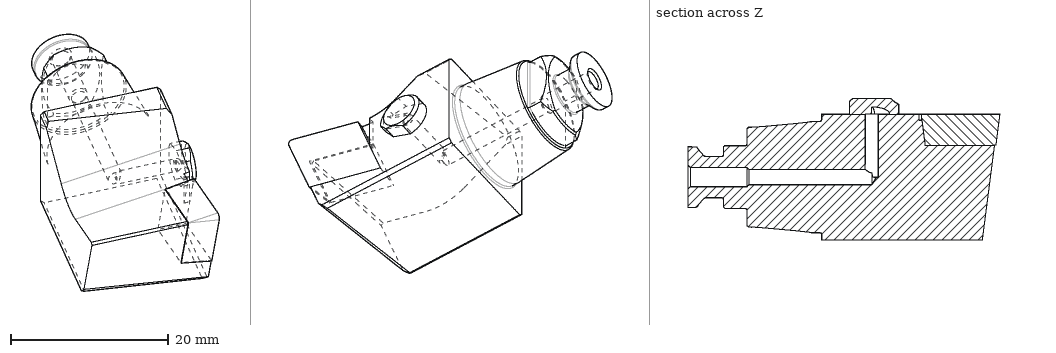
import cadquery as cq
import math


HEAD_SIDE = 16.0
HALF_SIDE = HEAD_SIDE / 2
HEAD_EDGE_CHAMFER = 0.5
TIP_X = 25.05
TOE_Z = -6.85
TOE_CHAMFER_ANGLE = 50.0
NOSE_LAND = 0.4

INSERT_ANGLE = 55.0
INSERT_EDGE = 11.65
INSERT_THICKNESS = 3.95
NOSE_RADIUS = 0.5
RELIEF_ANGLE = 7.0
HEAD_SETBACK = 0.15

SCOOP_RADIUS = 7.15
SCOOP_WALL_ANGLE = 32.5
SCOOP_END_X = 14.25
NOTCH_START_X = 12.4
NOTCH_DEPTH = 0.75

STUD_END_X = -16.95
STUD_RADIUS = 3.85
STUD_RIM_END_X = -15.88
NECK_START_X = -14.85
NECK_RADIUS = 2.65
STUD_FILLET = 0.25
NECK_ROOT_FILLET = 0.15
COLLAR_START_X = -12.47
COLLAR_RADIUS = 5.9
COLLAR_EDGE_CHAMFER = 0.25
FLAT_OFFSET = 4.0
FLAT_CHAMFER_RADIUS = 9.55
FLAT_CHAMFER_EDGE = 3.82
COLLAR_FILLET = 0.2
TAPER_START_X = -9.5
TAPER_CHAMFER = 0.2
TAPER_START_RADIUS = 6.35
TAPER_END_X = -1.05
TAPER_END_RADIUS = 7.1
SHOULDER_FILLET = 0.2

COUNTERSINK_RADIUS = 1.5
INLET_RADIUS = 1.2
BORE_RADIUS = 0.95
BORE_TIP_ANGLE = 118.0
CROSS_BORE_RADIUS = 0.8

NOZZLE_X = 6.4
NOZZLE_HEIGHT = 2.0
NOZZLE_RADIUS = 2.85
NOZZLE_NOSE_RADIUS = 3.45
NOZZLE_NOSE_HALF_ANGLE = 24.0
NOZZLE_FACE_RADIUS = 2.4
NOZZLE_CHAMFER_ANGLE = 37.0
OUTLET_RADIUS = 0.9
FLAT_START_ANGLE = 120.0
FLAT_END_ANGLE = 60.0

MARGIN = 4.2
OVERRUN = 0.05
TOLERANCE = 0.005
DIAGONAL = math.sqrt(0.5)

edge_angle = math.radians((90 - INSERT_ANGLE) / 2)
half_insert_angle = math.radians(INSERT_ANGLE / 2)
edge_sin, edge_cos, edge_tan = math.sin(edge_angle), math.cos(edge_angle), math.tan(edge_angle)

nose_inset = NOSE_RADIUS * (DIAGONAL / math.sin(half_insert_angle) - 1)
corner_x = TIP_X + nose_inset
corner_z = HALF_SIDE + nose_inset

lean = HEAD_SIDE * math.tan(math.radians(RELIEF_ANGLE))
corner_setback = HEAD_SETBACK / math.sin(half_insert_angle) * DIAGONAL
head_corner_x = corner_x - corner_setback
head_corner_z = corner_z - corner_setback


def polar(radius, degrees):
    angle = math.radians(degrees)
    return radius * math.cos(angle), radius * math.sin(angle)


def side_plane():
    """XZ plane on the +Y face of the head; its normal points to -Y."""
    return cq.Workplane("XZ", origin=(0, HALF_SIDE, 0))


def leaning_cutter(outline, shift_x, shift_z):
    """Prism from an outline on the +Y face that drifts by the given shift across the head."""
    across = cq.Vector(shift_x, -HEAD_SIDE, shift_z)
    start = outline.val().translate(across * -OVERRUN)
    return cq.Workplane(cq.Solid.extrudeLinear(start, [], across * (1 + 2 * OVERRUN)))



def scoop_cutter():
    wall = math.radians(SCOOP_WALL_ANGLE)
    end_z = head_corner_z - (head_corner_x - SCOOP_END_X) * edge_tan
    centre_x = SCOOP_END_X - SCOOP_RADIUS * edge_sin
    centre_z = end_z + SCOOP_RADIUS * edge_cos
    wall_end = (centre_x - SCOOP_RADIUS * math.sin(wall), centre_z - SCOOP_RADIUS * math.cos(wall))
    top_z = HALF_SIDE + MARGIN
    wall_top_x = wall_end[0] - (top_z - wall_end[1]) / math.tan(wall)
    rake_top_x = head_corner_x + (top_z - head_corner_z) / edge_tan
    outline = (
        side_plane()
        .moveTo(wall_top_x, top_z)
        .lineTo(*wall_end)
        .threePointArc((centre_x, centre_z - SCOOP_RADIUS), (SCOOP_END_X, end_z))
        .lineTo(rake_top_x, top_z)
        .close()
    )
    return leaning_cutter(outline, lean * edge_sin, -lean * edge_cos)


def end_cutter():
    toe_x = head_corner_x - (head_corner_z - TOE_Z) * edge_tan
    top_z = HALF_SIDE + MARGIN
    top_x = toe_x + (top_z - TOE_Z) * edge_tan
    bottom_z = -HALF_SIDE - MARGIN
    bottom_x = toe_x - (TOE_Z - bottom_z) / math.tan(math.radians(TOE_CHAMFER_ANGLE))
    far_x = top_x + MARGIN
    outline = side_plane().polyline(
        [(top_x, top_z), (toe_x, TOE_Z), (bottom_x, bottom_z), (far_x, bottom_z), (far_x, top_z)]
    ).close()
    return leaning_cutter(outline, -lean * edge_cos, lean * edge_sin)


def nose_land_cutter():
    depth = NOSE_LAND / 2 / math.tan(half_insert_angle)
    diagonal = cq.Workplane(
        cq.Plane(
            origin=(head_corner_x, HALF_SIDE, head_corner_z), xDir=(1, 0, 1), normal=(0, -1, 0)
        )
    )
    outline = diagonal.polyline(
        [(-depth, MARGIN), (-depth, -MARGIN), (MARGIN, -MARGIN), (MARGIN, MARGIN)]
    ).close()
    corner_shift = -lean / math.sin(half_insert_angle) * DIAGONAL
    return leaning_cutter(outline, corner_shift, corner_shift)


def relief_notch():
    """Shallow wedge on the +Y face that bares the inner side of the insert."""
    inner_x = corner_x - INSERT_EDGE * edge_cos
    inner_z = corner_z - INSERT_EDGE * edge_sin
    foot_z = inner_z - (inner_x - NOTCH_START_X) / edge_tan
    return (
        side_plane()
        .polyline([(NOTCH_START_X, foot_z), (inner_x, inner_z), (NOTCH_START_X, HALF_SIDE)])
        .close()
        .extrude(NOTCH_DEPTH)
    )


def head():
    block = (
        cq.Workplane("YZ")
        .rect(HEAD_SIDE, HEAD_SIDE)
        .extrude(TIP_X)
        .edges("|X")
        .chamfer(HEAD_EDGE_CHAMFER)
    )
    return block.cut(scoop_cutter()).cut(end_cutter()).cut(nose_land_cutter()).cut(relief_notch())


def turned(points):
    """Solid of revolution about the X axis from (x, radius) points that start and end on the axis."""
    return cq.Workplane("XZ").polyline(points).close().revolve(360, (0, 0, 0), (1, 0, 0))


def pull_stud():
    stud = turned([
        (STUD_END_X, 0),
        (STUD_END_X, STUD_RADIUS),
        (STUD_RIM_END_X, STUD_RADIUS),
        (NECK_START_X, NECK_RADIUS),
        (COLLAR_START_X, NECK_RADIUS),
        (COLLAR_START_X, 0),
    ])
    cone_ends = cq.selectors.BoxSelector(
        (STUD_RIM_END_X - STUD_FILLET, -MARGIN, -MARGIN), (NECK_START_X + STUD_FILLET, MARGIN, MARGIN)
    )
    return stud.edges(cone_ends).edges("%CIRCLE").fillet(STUD_FILLET)


def collar():
    length = TAPER_START_X - COLLAR_START_X
    body = (
        cq.Workplane("YZ", origin=(COLLAR_START_X, 0, 0))
        .circle(COLLAR_RADIUS)
        .extrude(length)
        .faces("<X")
        .chamfer(COLLAR_EDGE_CHAMFER)
    )
    between_flats = (
        cq.Workplane("YZ", origin=(COLLAR_START_X, 0, 0))
        .rect(2 * FLAT_OFFSET, 2 * COLLAR_RADIUS)
        .extrude(length)
    )
    body = body.intersect(between_flats)
    cone = turned([
        (COLLAR_START_X, 0),
        (COLLAR_START_X, FLAT_CHAMFER_RADIUS),
        (TAPER_START_X, FLAT_CHAMFER_RADIUS + length),
        (TAPER_START_X, 0),
    ])
    cone_offset = FLAT_CHAMFER_RADIUS - FLAT_CHAMFER_EDGE
    for side in (-1, 1):
        body = body.intersect(cone.translate((0, side * cone_offset, 0)))
    return body


def taper():
    return turned([
        (TAPER_START_X, 0),
        (TAPER_START_X, TAPER_START_RADIUS - TAPER_CHAMFER),
        (TAPER_START_X + TAPER_CHAMFER, TAPER_START_RADIUS),
        (TAPER_END_X, TAPER_END_RADIUS),
        (0, TAPER_END_RADIUS),
        (0, 0),
    ])


def coolant_channel():
    """Axial bore from the stud end and a cross bore from its tip to the nozzle."""
    tip_length = BORE_RADIUS / math.tan(math.radians(BORE_TIP_ANGLE / 2))
    axial = turned([
        (STUD_END_X, 0),
        (STUD_END_X, COUNTERSINK_RADIUS),
        (STUD_END_X + COUNTERSINK_RADIUS - INLET_RADIUS, INLET_RADIUS),
        (TAPER_START_X, INLET_RADIUS),
        (TAPER_START_X + INLET_RADIUS - BORE_RADIUS, BORE_RADIUS),
        (NOZZLE_X, BORE_RADIUS),
        (NOZZLE_X + tip_length, 0),
    ])
    cross = (
        side_plane()
        .center(NOZZLE_X, 0)
        .circle(CROSS_BORE_RADIUS)
        .extrude(HALF_SIDE)
    )
    return axial.union(cross)


def joint_edges(x, reach):
    """Selects the edges that lie in the plane at x and keep within reach of the axis."""
    return cq.selectors.BoxSelector(
        (x - TOLERANCE, -reach, -reach), (x + TOLERANCE, reach, reach), boundingbox=True
    )


def holder(insert_body):
    body = taper().union(collar()).union(pull_stud()).union(head())
    for x, radius, fillet in (
        (COLLAR_START_X, NECK_RADIUS, NECK_ROOT_FILLET),
        (TAPER_START_X, COLLAR_RADIUS, COLLAR_FILLET),
        (0, TAPER_END_RADIUS, SHOULDER_FILLET),
    ):
        body = body.edges(joint_edges(x, radius + fillet / 2)).fillet(fillet)
    return body.cut(coolant_channel()).cut(insert_body)



def insert():
    """Rhombic plate with one rounded nose; all its sides lean inward away from the +Y face."""
    nose_x = TIP_X - NOSE_RADIUS
    nose_z = HALF_SIDE - NOSE_RADIUS
    rake_tangent = (nose_x - NOSE_RADIUS * edge_sin, nose_z + NOSE_RADIUS * edge_cos)
    nose_middle = (nose_x + NOSE_RADIUS * DIAGONAL, nose_z + NOSE_RADIUS * DIAGONAL)
    end_tangent = (nose_x + NOSE_RADIUS * edge_cos, nose_z - NOSE_RADIUS * edge_sin)
    along_rake = (-INSERT_EDGE * edge_cos, -INSERT_EDGE * edge_sin)
    along_end = (-INSERT_EDGE * edge_sin, -INSERT_EDGE * edge_cos)
    return (
        side_plane()
        .moveTo(*end_tangent)
        .threePointArc(nose_middle, rake_tangent)
        .lineTo(corner_x + along_rake[0], corner_z + along_rake[1])
        .line(*along_end)
        .lineTo(corner_x + along_end[0], corner_z + along_end[1])
        .close()
        .extrude(INSERT_THICKNESS, taper=RELIEF_ANGLE)
    )



def nozzle():
    outward = cq.Plane(origin=(NOZZLE_X, HALF_SIDE, 0), xDir=(1, 0, 0), normal=(0, 1, 0))
    aim = math.degrees(math.atan2(HALF_SIDE, TIP_X - NOZZLE_X))
    plane = outward.rotated((0, 0, -aim))
    body = (
        cq.Workplane(plane)
        .moveTo(*polar(NOZZLE_RADIUS, FLAT_START_ANGLE))
        .threePointArc((-NOZZLE_RADIUS, 0), polar(NOZZLE_RADIUS, -FLAT_START_ANGLE))
        .lineTo(*polar(NOZZLE_RADIUS, -FLAT_END_ANGLE))
        .lineTo(*polar(NOZZLE_NOSE_RADIUS, -NOZZLE_NOSE_HALF_ANGLE))
        .threePointArc((NOZZLE_NOSE_RADIUS, 0), polar(NOZZLE_NOSE_RADIUS, NOZZLE_NOSE_HALF_ANGLE))
        .lineTo(*polar(NOZZLE_RADIUS, FLAT_END_ANGLE))
        .close()
        .extrude(NOZZLE_HEIGHT)
    )
    base_radius = NOZZLE_FACE_RADIUS + NOZZLE_HEIGHT / math.tan(math.radians(NOZZLE_CHAMFER_ANGLE))
    rim_cone = cq.Workplane(
        cq.Solid.makeCone(
            base_radius, NOZZLE_FACE_RADIUS, NOZZLE_HEIGHT, pnt=plane.origin, dir=plane.zDir
        )
    )
    outlet = cq.Workplane(
        cq.Solid.makeCylinder(
            OUTLET_RADIUS, NOZZLE_NOSE_RADIUS, pnt=plane.origin, dir=plane.xDir
        )
    )
    return body.intersect(rim_cone).cut(outlet)


insert_body = insert()
holder_body = holder(insert_body)
nozzle_body = nozzle()

result = cq.Compound.makeCompound([
    holder_body.solids().val(),
    insert_body.solids().val(),
    nozzle_body.solids().val(),
])